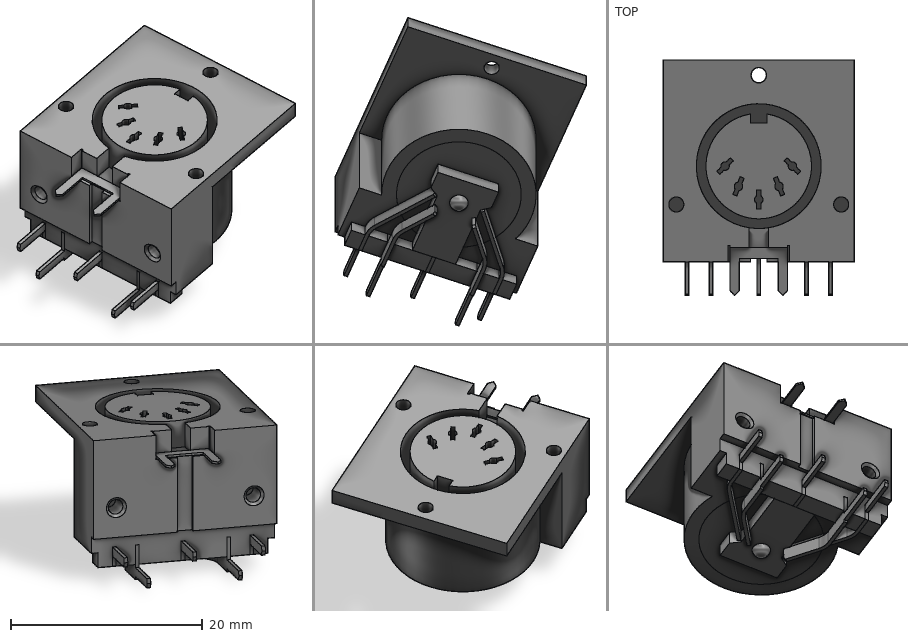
import cadquery as cq
import math


HOUSING_WIDTH = 20.0
BACK_Y = 11.1
FRONT_Y = -10.0
PLATE_THICKNESS = 1.8
BOX_BACK_Y = -2.98
HOUSING_BOTTOM_Z = -12.52
BARREL_RADIUS = 8.07
BORE_RADIUS = 6.52

STEP_Z = -10.75
STEP_DEPTH = 0.8
LIP_FRONT_Y = FRONT_Y + STEP_DEPTH
LIP_THICKNESS = 2.0
LIP_BACK_Y = LIP_FRONT_Y + LIP_THICKNESS
LIP_WIDTH = 18.5
LIP_BOTTOM_Z = -14.15

SCREW_HOLE_RADIUS = 0.79
SCREW_HOLE_DEPTH = 2.95
PLATE_HOLE_Y = 9.5
TOP_HOLE_X = 8.6
TOP_HOLE_Y = -4.0
FRONT_HOLE_X = 7.5
FRONT_HOLE_Z = -7.5
COUNTERSINK = 0.3

CLIP_WIDTH = 6.03
CLIP_THICKNESS = 0.25
CLIP_BACK_Y = -8.5
CLIP_BAR_DEPTH = 1.15
CLIP_LEG_WIDTH = 0.98
CLIP_POINT_LENGTH = 0.5
SLOT_DEPTH = 2.63
SLOT_RELIEF = 0.2
CHANNEL_WIDTH = 2.07
FRONT_GROOVE_WIDTH = 1.7
FRONT_GROOVE_DEPTH = 0.45

CORE_RADIUS = 5.5
CORE_HEIGHT = 8.85
KEY_WIDTH = 1.75
KEY_FLOOR_Y = 4.53
SOCKET_DEPTH = 4.92
SOCKET_RADIUS = 0.45
BLADE_SLOT_LENGTH = 2.0
BLADE_SLOT_WIDTH = 0.45
SOCKETS = [
    (0.0, -3.5, 0.0),
    (-2.12, -2.12, -22.5),
    (2.12, -2.12, 22.5),
    (-3.52, 0.0, -45.0),
    (3.52, 0.0, 45.0),
]

TIP_Y = -13.5
PIN_THICKNESS = 0.4
PIN_SLOT_TOP_Z = -12.0
PRONG_HEIGHT = 1.0
PRONG_TIP_LENGTH = 0.12
ROW_SPACING = 2.48
BEND_ANGLE = 37.0
BEND_RADIUS = 2.21
INNER_PIN_X = 5.0
OUTER_PIN_X = 7.5
INNER_PIN_STRAIGHT = 3.45
INNER_PIN_REACH = 3.25
OUTER_PIN_REACH = 5.95
INNER_PIN_BOTTOM_Z = -15.8
PIN_CORNER_CHAMFER = 0.25

RETAINER_BACK_Y = 2.73
RETAINER_HALF_WIDTH = 3.4
DOME_RADIUS = 0.98
DOME_HEIGHT = 0.8


def box(x_range, y_range, z_range):
    """Box between the given limits along each axis."""
    (x0, x1), (y0, y1), (z0, z1) = x_range, y_range, z_range
    return cq.Workplane("XY").box(x1 - x0, y1 - y0, z1 - z0, centered=False).translate((x0, y0, z0))


def centred_box(width, y_range, z_range):
    """Box of the given width, symmetric about X = 0."""
    return box((-width / 2, width / 2), y_range, z_range)


def disc(radius, z_bottom, z_top, x=0.0, y=0.0):
    """Upright cylinder."""
    return cq.Workplane("XY", origin=(x, y, z_bottom)).circle(radius).extrude(z_top - z_bottom)


def front_screw_hole(x):
    """Blind countersunk hole into the front face, to be cut away."""
    profile = [
        (0, 0),
        (SCREW_HOLE_RADIUS + COUNTERSINK, 0),
        (SCREW_HOLE_RADIUS, COUNTERSINK),
        (SCREW_HOLE_RADIUS, SCREW_HOLE_DEPTH),
        (0, SCREW_HOLE_DEPTH),
    ]
    hole = cq.Workplane("XY").polyline(profile).close().revolve(360, (0, 0), (0, 1))
    return hole.translate((x, FRONT_Y, FRONT_HOLE_Z))


def clip_recess():
    """Slot for the ground clip, with relief at both ends and a channel back to the bore."""
    slot_z = (-SLOT_DEPTH, 0)
    recess = centred_box(CLIP_WIDTH + 2 * SLOT_RELIEF, (FRONT_Y, CLIP_BACK_Y + SLOT_RELIEF), slot_z)
    back_wall = centred_box(CLIP_WIDTH, (CLIP_BACK_Y, CLIP_BACK_Y + SLOT_RELIEF), slot_z)
    channel = centred_box(CHANNEL_WIDTH, (CLIP_BACK_Y, -CORE_RADIUS), slot_z)
    return recess.cut(back_wall).union(channel)


def make_housing(pins):
    plate = centred_box(HOUSING_WIDTH, (FRONT_Y, BACK_Y), (-PLATE_THICKNESS, 0))
    front_box = centred_box(HOUSING_WIDTH, (FRONT_Y, BOX_BACK_Y), (HOUSING_BOTTOM_Z, 0))
    barrel = disc(BARREL_RADIUS, HOUSING_BOTTOM_Z, 0)
    lip = centred_box(LIP_WIDTH, (LIP_FRONT_Y, LIP_BACK_Y), (LIP_BOTTOM_Z, HOUSING_BOTTOM_Z))
    step = centred_box(HOUSING_WIDTH, (FRONT_Y, LIP_FRONT_Y), (HOUSING_BOTTOM_Z, STEP_Z))
    front_groove = centred_box(
        FRONT_GROOVE_WIDTH, (FRONT_Y, FRONT_Y + FRONT_GROOVE_DEPTH), (STEP_Z, -SLOT_DEPTH)
    )
    housing = plate.union(front_box).union(barrel).cut(step).union(lip)
    housing = housing.cut(disc(BORE_RADIUS, HOUSING_BOTTOM_Z, 0)).cut(clip_recess()).cut(front_groove)
    housing = housing.cut(disc(SCREW_HOLE_RADIUS, -PLATE_THICKNESS, 0, 0, PLATE_HOLE_Y))
    for side in (-1, 1):
        housing = housing.cut(disc(SCREW_HOLE_RADIUS, -SCREW_HOLE_DEPTH, 0, side * TOP_HOLE_X, TOP_HOLE_Y))
        housing = housing.cut(front_screw_hole(side * FRONT_HOLE_X))
    for pin in pins:
        housing = housing.cut(pin)
    return housing


def make_ground_clip():
    """Flat U-shaped clip with two pointed legs."""
    outer_x = CLIP_WIDTH / 2
    inner_x = outer_x - CLIP_LEG_WIDTH
    middle_x = outer_x - CLIP_LEG_WIDTH / 2
    bar_front_y = CLIP_BACK_Y - CLIP_BAR_DEPTH
    shoulder_y = TIP_Y + CLIP_POINT_LENGTH
    right_half = [
        (outer_x, CLIP_BACK_Y),
        (outer_x, shoulder_y),
        (middle_x, TIP_Y),
        (inner_x, shoulder_y),
        (inner_x, bar_front_y),
    ]
    left_half = [(-x, y) for x, y in reversed(right_half)]
    outline = cq.Workplane("XY", origin=(0, 0, -SLOT_DEPTH)).polyline(right_half + left_half).close()
    return outline.extrude(CLIP_THICKNESS)


def socket_opening(x, y, turn):
    """Blind round hole crossed by a blade slot, to be cut away."""
    round_hole = disc(SOCKET_RADIUS, -SOCKET_DEPTH, 0)
    half_length = BLADE_SLOT_LENGTH / 2
    blade_slot = centred_box(BLADE_SLOT_WIDTH, (-half_length, half_length), (-SOCKET_DEPTH, 0))
    return round_hole.union(blade_slot).rotate((0, 0, 0), (0, 0, 1), turn).translate((x, y, 0))


def make_insert():
    """Round core with a key notch, on a base that fills the bore."""
    core = disc(CORE_RADIUS, -CORE_HEIGHT, 0)
    base = disc(BORE_RADIUS, HOUSING_BOTTOM_Z, -CORE_HEIGHT)
    key_notch = centred_box(KEY_WIDTH, (KEY_FLOOR_Y, BORE_RADIUS), (-CORE_HEIGHT, 0))
    insert = core.cut(key_notch).union(base)
    for socket in SOCKETS:
        insert = insert.cut(socket_opening(*socket))
    return insert


def make_prong(x, row_drop):
    """Board prong with a roof-shaped tip, starting at the front of the lip."""
    top_z = PIN_SLOT_TOP_Z - row_drop
    shoulder_y = TIP_Y + PRONG_TIP_LENGTH
    profile = [
        (LIP_FRONT_Y, top_z),
        (shoulder_y, top_z),
        (TIP_Y, top_z - PRONG_HEIGHT / 2),
        (shoulder_y, top_z - PRONG_HEIGHT),
        (LIP_FRONT_Y, top_z - PRONG_HEIGHT),
    ]
    prong = cq.Workplane("YZ").polyline(profile).close().extrude(PIN_THICKNESS)
    return prong.translate((x - PIN_THICKNESS / 2, 0, 0))


def make_root(x, z_bottom):
    """Straight blade that fills the slot through the lip."""
    half = PIN_THICKNESS / 2
    return box((x - half, x + half), (LIP_FRONT_Y, LIP_BACK_Y), (z_bottom, PIN_SLOT_TOP_Z))


def make_straight_pin():
    """Middle pin: a root and a prong in one plane."""
    return make_root(0, LIP_BOTTOM_Z).union(make_prong(0, 0))


def make_bent_pin(x, row_drop, bend_y, reach, z_bottom, z_top):
    """Left-hand pin whose blade bends towards the middle behind the lip."""
    half = PIN_THICKNESS / 2
    axis_x = x + BEND_RADIUS
    straight = box((x - half, x + half), (LIP_FRONT_Y, bend_y), (z_bottom, z_top))
    bend = (
        cq.Workplane("XZ", origin=(axis_x, bend_y, 0))
        .moveTo(-BEND_RADIUS, (z_bottom + z_top) / 2)
        .rect(PIN_THICKNESS, z_top - z_bottom)
        .revolve(BEND_ANGLE, (0, 0), (0, -1))
    )
    length = reach / math.cos(math.radians(BEND_ANGLE))
    end = (
        box((x - half, x + half), (bend_y, bend_y + length), (z_bottom, z_top))
        .faces(">Y").edges("<Z").chamfer(PIN_CORNER_CHAMFER)
        .rotate((axis_x, bend_y, 0), (axis_x, bend_y, 1), -BEND_ANGLE)
    )
    blade = straight.union(bend).union(end)
    return blade.union(make_root(x, z_bottom)).union(make_prong(x, row_drop))


def make_pins():
    """Middle pin and two mirrored pairs; the inner pair lies one row lower."""
    outer = make_bent_pin(-OUTER_PIN_X, 0, LIP_BACK_Y, OUTER_PIN_REACH, LIP_BOTTOM_Z, HOUSING_BOTTOM_Z)
    inner_bend_y = LIP_FRONT_Y + INNER_PIN_STRAIGHT
    inner = make_bent_pin(
        -INNER_PIN_X, ROW_SPACING, inner_bend_y, INNER_PIN_REACH, INNER_PIN_BOTTOM_Z, LIP_BOTTOM_Z
    )
    pins = [make_straight_pin()]
    for left_pin in (outer, inner):
        pins += [left_pin, left_pin.mirror("YZ")]
    return pins


def make_retainer():
    """Block with slanted shoulders that stop the outer pins, and a dome underneath."""
    angle = math.radians(BEND_ANGLE)
    inner_radius = BEND_RADIUS - PIN_THICKNESS / 2
    corner_x = OUTER_PIN_X - BEND_RADIUS + inner_radius * math.cos(angle) - OUTER_PIN_REACH * math.tan(angle)
    corner_y = LIP_BACK_Y + inner_radius * math.sin(angle) + OUTER_PIN_REACH
    shoulder_y = corner_y + (RETAINER_HALF_WIDTH - corner_x) * math.tan(angle)
    right_half = [
        (corner_x, LIP_BACK_Y),
        (corner_x, corner_y),
        (RETAINER_HALF_WIDTH, shoulder_y),
        (RETAINER_HALF_WIDTH, RETAINER_BACK_Y),
    ]
    left_half = [(-x, y) for x, y in reversed(right_half)]
    outline = cq.Workplane("XY", origin=(0, 0, LIP_BOTTOM_Z)).polyline(right_half + left_half).close()
    block = outline.extrude(HOUSING_BOTTOM_Z - LIP_BOTTOM_Z)
    dome_centre_z = LIP_BOTTOM_Z - DOME_HEIGHT + DOME_RADIUS
    dome = cq.Workplane("XY", origin=(0, 0, dome_centre_z)).sphere(DOME_RADIUS)
    return block.union(dome)


pins = make_pins()
housing = make_housing(pins)
ground_clip = make_ground_clip()
insert = make_insert()
retainer = make_retainer()

result = cq.Compound.makeCompound(
    [housing.val(), ground_clip.val(), insert.val(), retainer.val(), *[pin.val() for pin in pins]]
)